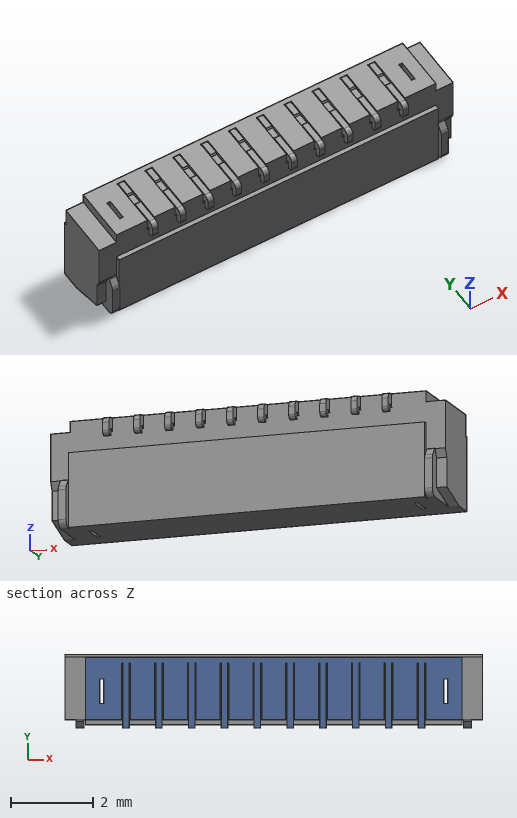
import cadquery as cq

length = 10.18
depth = 1.8
height = 2.7
half_length = length / 2
back_y = depth / 2
front_y = -depth / 2

end_step_length = 0.5
end_step_height = 0.27
body_front_y = front_y + 0.2
panel_front_y = front_y + 0.08
panel_height = 1.88
panel_half_length = half_length - end_step_length
back_relief = 0.07

vent_x = 4.19
vent_width = 0.09
vent_length = 0.59

pin_count = 10
pin_pitch = 0.8
pin_width = 0.16
pin_thickness = 0.15
pin_shank_thickness = 0.27
pin_drop = 0.46
pin_bend_radius = 0.15
pin_tip_radius = 0.1
pin_slot_width = 0.2
pin_slot_depth = 0.34
pin_slot_end_y = back_y - 0.21
pin_back_y = pin_slot_end_y - 0.01

notch_back_y = back_y - 0.63
notch_front_y = back_y - 1.0
notch_depth = 0.05
notch_slope = 0.03

recess_width = 0.26
recess_back_y = body_front_y + 0.1
recess_shoulder_z = 1.01
recess_floor_z = 0.26
recess_floor_back_y = 0.35
tab_top_z = 1.22
tab_shoulder_z = 1.0
tab_ledge = 0.04
tab_gap = 0.03
tab_shoulder_radius = 0.16
tab_bottom_radius = 0.19


def box(x_range, y_range, z_range):
    """Box between the given limits along each axis."""
    size = [high - low for low, high in (x_range, y_range, z_range)]
    corner = (x_range[0], y_range[0], z_range[0])
    return cq.Workplane("XY").box(*size, centered=False).translate(corner)


def extrude_along_x(points, x_low, x_high):
    """Closed (y, z) outline extruded between two X positions."""
    return cq.Workplane("YZ", origin=(x_low, 0, 0)).polyline(points).close().extrude(x_high - x_low)


def make_housing():
    """Block with a stepped back, lowered ends, a raised front panel and two through slots."""
    side_outline = [
        (body_front_y, 0),
        (back_y, 0),
        (back_y, panel_height),
        (back_y - back_relief, panel_height),
        (back_y - back_relief, height),
        (body_front_y, height),
    ]
    housing = extrude_along_x(side_outline, -half_length, half_length)
    housing = housing.union(
        box((-panel_half_length, panel_half_length), (panel_front_y, 0), (0, panel_height))
    )
    shoulder = box(
        (-half_length, -panel_half_length), (front_y, back_y), (height - end_step_height, height)
    )
    housing = housing.cut(shoulder).cut(shoulder.mirror("YZ"))
    for x in (-vent_x, vent_x):
        vent = box(
            (x - vent_width / 2, x + vent_width / 2), (-vent_length / 2, vent_length / 2), (0, height)
        )
        housing = housing.cut(vent)
    return housing


def make_end_recess():
    """Cutter for the left lower front corner, with a sloped top and a sloped floor."""
    outline = [
        (front_y, tab_top_z),
        (body_front_y, tab_top_z),
        (recess_back_y, recess_shoulder_z),
        (recess_back_y, recess_floor_z),
        (recess_floor_back_y, 0),
        (front_y, 0),
    ]
    return extrude_along_x(outline, -half_length, -half_length + recess_width)


def make_tab():
    """Left mounting tab beside the raised panel, rounded along its front edges."""
    outline = [
        (recess_back_y, 0),
        (front_y, 0),
        (front_y, tab_shoulder_z),
        (body_front_y - tab_ledge, tab_top_z),
        (recess_back_y, tab_top_z),
    ]
    tab = extrude_along_x(outline, -half_length + recess_width, -panel_half_length - tab_gap)
    tab = tab.faces("<Y").edges("<Z").fillet(tab_bottom_radius)
    return tab.faces("<Y").edges(">Z").fillet(tab_shoulder_radius)


def make_pin_slot():
    """Cutter for one pin slot, open at the top and front, centred on X = 0."""
    return box(
        (-pin_slot_width / 2, pin_slot_width / 2),
        (body_front_y, pin_slot_end_y),
        (height - pin_slot_depth, height),
    )


def make_pin():
    """Hooked pin lying in its slot and bent down over the front, centred on X = 0."""
    half_width = pin_width / 2
    hook_back_y = front_y + pin_thickness
    shank_bottom_z = height - pin_shank_thickness
    slot_floor_z = height - pin_slot_depth
    outline = [
        (pin_back_y, height),
        (front_y, height),
        (front_y, height - pin_drop),
        (hook_back_y, height - pin_drop),
        (hook_back_y, shank_bottom_z),
        (body_front_y, shank_bottom_z),
        (body_front_y, slot_floor_z),
        (pin_back_y, slot_floor_z),
    ]
    pin = extrude_along_x(outline, -half_width, half_width)
    pin = pin.faces("<Y").edges(">Z").fillet(pin_bend_radius)
    pin = pin.faces("<Y").edges("<Z").fillet(pin_tip_radius)
    notch = [
        (notch_back_y, height),
        (notch_back_y - notch_slope, height - notch_depth),
        (notch_front_y + notch_slope, height - notch_depth),
        (notch_front_y, height),
    ]
    return pin.cut(extrude_along_x(notch, -half_width, half_width))


result = make_housing()

end_recess = make_end_recess()
result = result.cut(end_recess).cut(end_recess.mirror("YZ"))

tab = make_tab()
result = result.union(tab).union(tab.mirror("YZ"))

pin_slot = make_pin_slot()
pin = make_pin()
for index in range(pin_count):
    pin_position = ((index - (pin_count - 1) / 2) * pin_pitch, 0, 0)
    result = result.cut(pin_slot.translate(pin_position))
    result = result.union(pin.translate(pin_position))